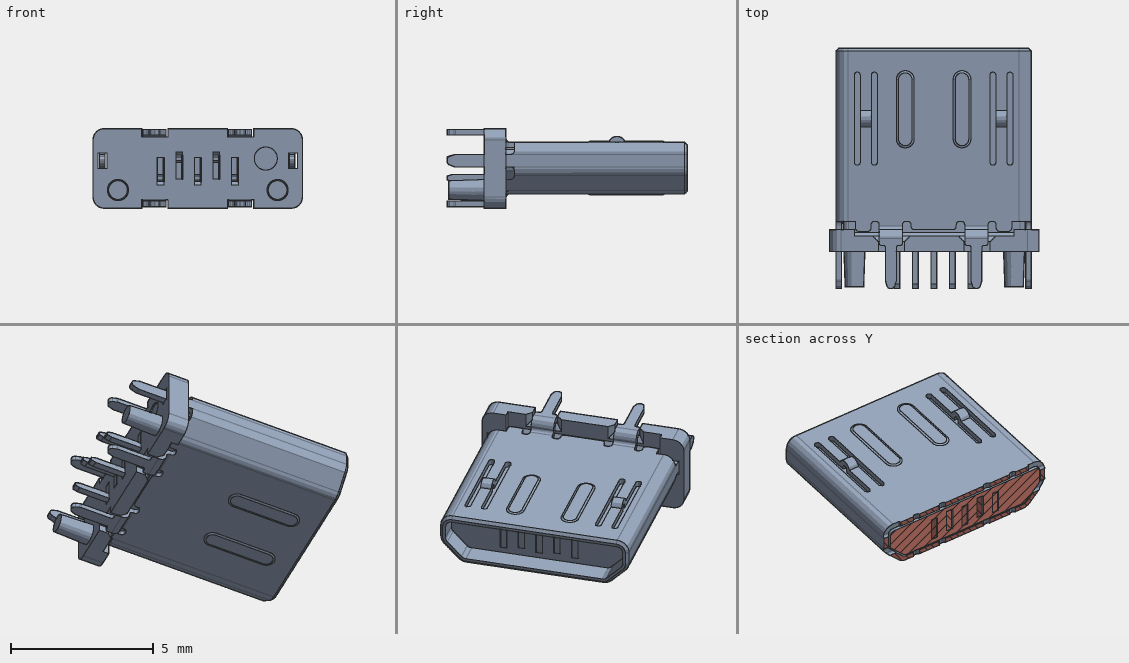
import cadquery as cq
import math


shell_end = 7.13
total_length = 8.43
tail_length = total_length - shell_end
base_depth = 0.77
sides = (-1, 1)

sheet = 0.2
shell_shift = (-0.021, 0, 0.013)
shell_half_width = 3.43
shell_half_height = 0.91
shell_corner_radius = 0.43
slope_top = -0.14
bottom_half_width = 2.66
mouth_chamfer = 0.1

relief_end = 1.06
side_tab_inner = 2.19
side_tab_outer = 2.74
side_tab_entry = 0.06
center_tab_half = 0.79
tab_radius = 0.13
side_notch_bottom = -0.4

tail_x = 1.5
tail_neck_width = 0.82
tail_width = 0.39
tail_shoulder = 0.22
tail_shoulder_radius = 0.08
tail_taper_length = 0.27
tail_tip_width = 0.22
tail_tip_radius = 0.13
tail_half_height = 1.36
tail_bend_start = 0.89
bend_radius = 0.12
side_tail_top = shell_half_height - shell_corner_radius
side_tail_width = 0.45

spring_y = 4.66
spring_x = 2.38
spring_slot_pitch = 0.6
spring_slot_width = 0.21
spring_slot_length = 3.26
bump_radius = 0.3
bump_height = 0.2
pad_x = 0.995
pad_y = 4.99
pad_length = 2.71
pad_width = 0.62
pad_height = 0.0295
pad_bevel = 0.08

base_width = 7.35
base_height = 2.8
base_corner_radius = 0.405
boss_length = 5.65
boss_clearance = 0.04
ledge_half_width = 2.8
ledge_depth = 0.23
ledge_flat = 0.09
ledge_rise = 0.135
notch_width = 0.91
notch_depth = 0.295
notch_straight = 0.345
notch_spread = 0.2
side_slot_center = 3.34
side_slot_width = 0.31
side_slot_bottom = 0.0
side_slot_top = 0.54
peg_x = 2.8
peg_z = -0.76
peg_root_radius = 0.37
peg_tip_radius = 0.33
peg_length = 1.24
mark_x = 2.385
mark_z = 0.345
mark_radius = 0.405
mark_depth = 0.05

contact_count = 5
contact_pitch = 0.65
contact_width = 0.21
contact_slot_width = 0.245
contact_play = -0.013
contact_top = 0.38
contact_bottom = -0.46
contact_tail_height = 0.25
contact_tip_length = 0.17
contact_tip_chamfer = 0.06
slot_ramp = 0.11


def box(x_range, y_range, z_range):
    """Box between two limits along each axis."""
    size = [high - low for low, high in (x_range, y_range, z_range)]
    corner = cq.Vector(x_range[0], y_range[0], z_range[0])
    return cq.Workplane(cq.Solid.makeBox(*size, corner))


def prism_x(points, center_x, width):
    """Prism along X with an outline given as (Y, Z) points."""
    outline = cq.Workplane("YZ", origin=(center_x - width / 2, 0, 0)).polyline(points).close()
    return outline.extrude(width)


def mirrored_z(body):
    return body.mirror("XY")


def shell_section(inset, start, end):
    """Solid bar of the shell's cross-section, shrunk by `inset`."""
    corners = [
        (shell_half_width, shell_half_height),
        (shell_half_width, slope_top),
        (bottom_half_width, -shell_half_height),
    ]
    outline = corners + [(-x, z) for x, z in reversed(corners)]
    bar = cq.Workplane("XZ").polyline(outline).close().extrude(-0.085)
    wire = bar.edges("|Y").fillet(shell_corner_radius).faces("<Y").wires().val()
    if inset:
        wire = wire.offset2D(-inset)[0]
    section = cq.Workplane("XZ").add(wire).toPending()
    return section.extrude(start - end).translate((0, start, 0))


def rear_gaps():
    """Upright cutter for the gaps between the tabs and tails along the rear edge of one wall."""
    half_neck = tail_neck_width / 2
    tab_end = base_depth - side_tab_entry
    far = 2 * shell_half_width
    right_edge = [
        (center_tab_half, base_depth),
        (center_tab_half, relief_end),
        (tail_x - half_neck, relief_end),
        (tail_x - half_neck, -far),
        (tail_x + half_neck, -far),
        (tail_x + half_neck, relief_end),
        (side_tab_inner, relief_end),
        (side_tab_inner, tab_end),
        (side_tab_outer, tab_end),
        (side_tab_outer, relief_end),
        (far, relief_end),
        (far, far),
    ]
    outline = right_edge + [(-x, y) for x, y in reversed(right_edge)]
    kept = cq.Workplane("XY").polyline(outline).close().extrude(shell_half_height + 0.085)
    kept = kept.edges("|Z").fillet(tab_radius)
    band = box((-shell_half_width, shell_half_width), (0, relief_end), (0, shell_half_height + 0.085))
    return band.cut(kept)


def tail_blade(width, thickness, plane):
    """Flat blade running from the relief end to a tapered, rounded tip."""
    taper_start = tail_taper_length - tail_length
    half = width / 2
    half_tip = tail_tip_width / 2
    blade = (
        cq.Workplane(plane)
        .polyline([
            (-half, relief_end),
            (-half, taper_start),
            (-half_tip, -tail_length),
            (half_tip, -tail_length),
            (half, taper_start),
            (half, relief_end),
        ])
        .close()
        .extrude(thickness)
    )
    tip = cq.selectors.BoxSelector(
        (-base_height, -tail_length - 0.085, -base_height),
        (base_height, 0, base_height),
    )
    thickness_edges = cq.selectors.ParallelDirSelector(plane.zDir)
    return blade.edges(thickness_edges).edges(tip).fillet(tail_tip_radius)


def shell_tail(center_x):
    """Tail of the upper wall: a strip stepped outward by two square bends, then narrowed."""
    step_outer = tail_bend_start - bend_radius
    step_inner = step_outer - sheet
    side_outline = [
        (relief_end, shell_half_height),
        (step_outer, shell_half_height),
        (step_outer, tail_half_height),
        (-tail_length, tail_half_height),
        (-tail_length, tail_half_height - sheet),
        (step_inner, tail_half_height - sheet),
        (step_inner, shell_half_height - sheet),
        (relief_end, shell_half_height - sheet),
    ]
    strip = prism_x(side_outline, center_x, tail_neck_width)
    bends = (
        (step_outer, shell_half_height, bend_radius),
        (step_outer, tail_half_height, bend_radius + sheet),
        (step_inner, tail_half_height - sheet, bend_radius),
        (step_inner, shell_half_height - sheet, bend_radius + sheet),
    )
    for y, z, radius in bends:
        strip = strip.edges(cq.selectors.NearestToPointSelector((center_x, y, z))).fillet(radius)

    half_neck = tail_neck_width / 2
    neck = box((-half_neck, half_neck), (tail_shoulder, relief_end), (0, base_height))
    plan = tail_blade(tail_width, base_height, cq.Plane.XY()).union(neck)
    shoulder = cq.selectors.BoxSelector(
        (-base_width, tail_shoulder - 0.01, 0),
        (base_width, tail_shoulder + 0.01, base_height),
    )
    plan = plan.edges("|Z").edges(shoulder).fillet(tail_shoulder_radius)
    return strip.intersect(plan.translate((center_x, 0, 0)))


def side_tail(side):
    """Tail continuing the upright part of one side wall."""
    plane = cq.Plane(origin=(0, 0, 0), xDir=(0, 0, -1), normal=(1, 0, 0))
    center_z = side_tail_top - side_tail_width / 2
    inner_x = min(side * shell_half_width, side * (shell_half_width - sheet))
    return tail_blade(side_tail_width, sheet, plane).translate((inner_x, 0, center_z))


def side_gap(side, bottom, top):
    """Cutter for a rounded gap above or below one side tail."""
    x_range = sorted((side * side_tab_outer, side * (shell_half_width + 0.085)))
    gap = box(x_range, (0, relief_end), (bottom, top))
    return gap.edges("|X and >Y").fillet(tab_radius)


def spring_slots(center_x):
    """Cutter for the pair of slots that frees one spring strip in the upper wall."""
    offsets = [(center_x + side * spring_slot_pitch / 2, spring_y) for side in sides]
    slots = cq.Workplane("XY").pushPoints(offsets)
    return slots.slot2D(spring_slot_length, spring_slot_width, 90).extrude(shell_half_height + 0.085)


def spring_bump(center_x):
    """Arched bump across the strip between two slots, and the hollow beneath it."""
    width = spring_slot_pitch - spring_slot_width
    axis_z = shell_half_height + bump_height - bump_radius
    plane = cq.Workplane("YZ", origin=(center_x - width / 2, spring_y, axis_z))
    wall_bottom = shell_half_height - sheet
    upper = box(
        (center_x - width, center_x + width),
        (spring_y - bump_radius, spring_y + bump_radius),
        (wall_bottom, axis_z + bump_radius),
    )
    arch = plane.circle(bump_radius).extrude(width).intersect(upper)
    hollow_radius = bump_radius - sheet
    below = box(
        (center_x - width / 2, center_x + width / 2),
        (spring_y - hollow_radius, spring_y + hollow_radius),
        (wall_bottom, axis_z),
    )
    return arch, plane.circle(hollow_radius).extrude(width).union(below)


def raised_pads():
    """Bevelled oval pads pressed out of the upper wall."""
    bevel_angle = math.degrees(math.atan2(pad_bevel, pad_height))
    centers = [(side * pad_x, pad_y) for side in sides]
    pads = cq.Workplane("XY", origin=(0, 0, shell_half_height)).pushPoints(centers)
    return pads.slot2D(pad_length, pad_width, 90).extrude(pad_height, taper=bevel_angle)


def make_shell():
    rear = base_depth - side_tab_entry
    shell = shell_section(0, rear, shell_end).faces(">Y").edges().chamfer(mouth_chamfer)
    shell = shell.cut(shell_section(sheet, rear, shell_end))

    slope_angle = math.atan2(shell_half_width - bottom_half_width, shell_half_height + slope_top)
    bottom_turn = math.radians(90) - slope_angle
    lower_flat_half = bottom_half_width - shell_corner_radius * math.tan(bottom_turn / 2)
    flat_zone = box((-side_tab_outer, side_tab_outer), (0, shell_end), (0, base_height))
    gaps = rear_gaps().intersect(flat_zone)
    shell = shell.cut(gaps).cut(mirrored_z(gaps))
    for side in sides:
        upper_x = sorted((side * side_tab_outer, side * base_width))
        lower_x = sorted((side * lower_flat_half, side * base_width))
        shell = shell.cut(box(upper_x, (0, base_depth), (0, base_height)))
        shell = shell.cut(box(lower_x, (0, base_depth), (-base_height, 0)))
        shell = shell.cut(side_gap(side, side_tail_top, base_height))
        shell = shell.cut(side_gap(side, side_notch_bottom, side_tail_top - side_tail_width))
        shell = shell.union(side_tail(side))

    for side in sides:
        tail = shell_tail(side * tail_x)
        shell = shell.union(tail).union(mirrored_z(tail))

    for side in sides:
        arch, hollow = spring_bump(side * spring_x)
        shell = shell.cut(spring_slots(side * spring_x)).union(arch).cut(hollow)
    shell = shell.union(raised_pads()).union(mirrored_z(raised_pads()))
    return shell.translate(shell_shift)


def tail_notch(center_x):
    """Cutter for one upper notch: a flat floor that falls and spreads toward the shell."""
    floor = base_height / 2 - notch_depth
    fall = base_depth - notch_straight
    half = notch_width / 2
    spread_end = notch_straight + notch_spread
    profile = [
        (0, floor),
        (notch_straight, floor),
        (base_depth, floor - fall),
        (base_depth, base_height),
        (0, base_height),
    ]
    plan = [
        (half, 0),
        (half, notch_straight),
        (half + notch_spread, spread_end),
        (half + notch_spread, base_depth),
    ]
    plan = plan + [(-x, y) for x, y in reversed(plan)]
    spread = cq.Workplane("XY").polyline(plan).close().extrude(base_height)
    return prism_x(profile, center_x, 2 * notch_width).intersect(spread.translate((center_x, 0, 0)))


def shell_ledge():
    """Cutter for the upper ledge behind the shell: level with the boss, then sloping up."""
    wall = base_depth - ledge_depth
    floor = shell_half_height - sheet - boss_clearance
    profile = [
        (wall, base_height),
        (wall, floor + ledge_rise),
        (base_depth - ledge_flat, floor),
        (base_depth, floor),
        (base_depth, base_height),
    ]
    return prism_x(profile, 0, 2 * ledge_half_width)


def peg(side):
    root = cq.Workplane("XZ", origin=(side * peg_x, 0, peg_z)).circle(peg_root_radius)
    return root.workplane(offset=peg_length).circle(peg_tip_radius).loft()


def contact_slot(center_x):
    """Slot for a contact whose tail is on the lower side, with a ramp at its mouth."""
    x_range = (center_x - contact_slot_width / 2, center_x + contact_slot_width / 2)
    slot = box(x_range, (0, base_depth + boss_length), (contact_bottom, contact_top))
    ramp = [(0, contact_bottom), (slot_ramp, contact_bottom), (0, contact_bottom - slot_ramp)]
    return slot.union(prism_x(ramp, center_x, contact_slot_width))


def make_base():
    base = (
        cq.Workplane("XZ")
        .rect(base_width, base_height)
        .extrude(-base_depth)
        .edges("|Y")
        .fillet(base_corner_radius)
    )
    cutters = [shell_ledge(), *[tail_notch(side * tail_x) for side in sides]]
    for cutter in cutters:
        base = base.cut(cutter).cut(mirrored_z(cutter))

    boss = shell_section(sheet + boss_clearance, base_depth, base_depth + boss_length)
    base = base.union(boss)
    for side in sides:
        center = side * side_slot_center
        x_range = (center - side_slot_width / 2, center + side_slot_width / 2)
        base = base.cut(box(x_range, (0, base_depth), (side_slot_bottom, side_slot_top)))
        base = base.union(peg(side))

    for center_x, flipped in contact_places:
        slot = contact_slot(center_x)
        base = base.cut(mirrored_z(slot) if flipped else slot)

    mark = cq.Workplane("XZ", origin=(mark_x, 0, mark_z)).circle(mark_radius).extrude(-mark_depth)
    return base.cut(mark)


contact_places = [
    ((index - (contact_count - 1) / 2) * contact_pitch, index % 2 == 1)
    for index in range(contact_count)
]


def make_contact(center_x, flipped):
    """Flat blade through the base with a narrow tail whose tip is chamfered."""
    tail_top = contact_bottom + contact_tail_height
    blade_end = base_depth + boss_length
    outline = [
        (blade_end, contact_top),
        (0, contact_top),
        (0, tail_top),
        (contact_tip_length - tail_length, tail_top),
        (-tail_length, tail_top - contact_tip_chamfer),
        (-tail_length, contact_bottom + contact_tip_chamfer),
        (contact_tip_length - tail_length, contact_bottom),
        (blade_end, contact_bottom),
    ]
    contact = prism_x(outline, center_x + contact_play, contact_width)
    return mirrored_z(contact) if flipped else contact


base = make_base()
shell = make_shell()
contacts = [make_contact(center_x, flipped) for center_x, flipped in contact_places]

result = cq.Compound.makeCompound([base.val(), shell.val(), *[contact.val() for contact in contacts]])